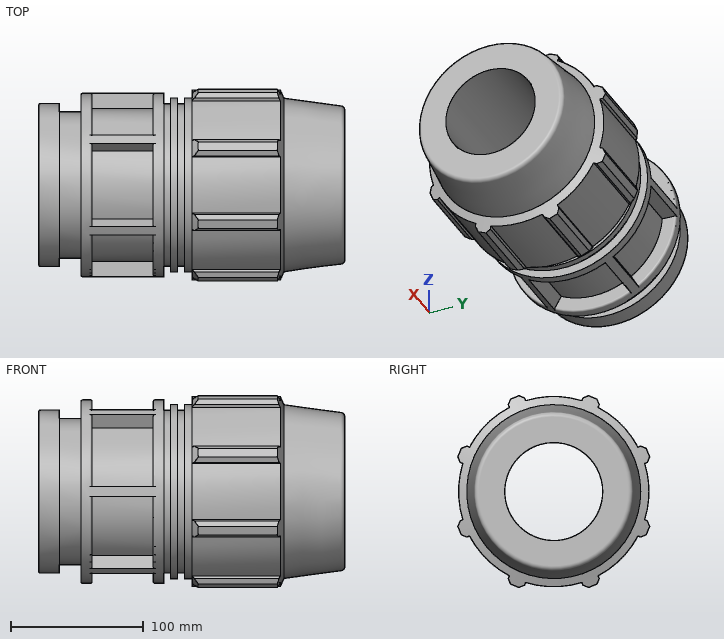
import cadquery as cq


length = 231.0

flange_dia = 123.1
flange_end = 15.7
neck_dia = 110.6
edge_round = 1.6

collar_dia = 138.5
core_dia = 115.5
band_start = 31.9
first_collar_end = 40.5
second_collar_start = 86.5
band_end = 94.5
rib_count = 6
rib_width = 7.5

groove_dia = 123.0
ring_dia = 131.7
outer_ring_start = 99.3
outer_ring_end = 104.9
inner_ring_start = 110.0

nut_dia = 143.7
nut_start = 115.7
nut_bevel_start = 182.3
nut_end = 185.0
grip_count = 8
grip_top_radius = 77.0
grip_width = 13.5
grip_chamfer = 3.2
grip_slope = 4.6
nose_base_dia = 131.2
nose_tip_dia = 118.7
nose_round = 3.5

mouth_dia = 98.5
mouth_depth = 15.2
socket_dia = 86.2
socket_depth = 52.7
hole_dia = 73.7


def revolve_profile(points):
    """Solid of revolution about X from (position, radius) points along its outline."""
    start, end = points[0][0], points[-1][0]
    outline = [(start, 0)] + points + [(end, 0)]
    return cq.Workplane("XY").polyline(outline).close().revolve(360, (0, 0, 0), (1, 0, 0))


def cylinder(diameter, start, end):
    """Cylinder along the X axis between two positions."""
    return revolve_profile([(start, diameter / 2), (end, diameter / 2)])


def make_spigot():
    flange = cylinder(flange_dia, 0, flange_end).faces("<X").edges().fillet(edge_round)
    return flange.union(cylinder(neck_dia, flange_end, band_start))


def make_band():
    first_collar = cylinder(collar_dia, band_start, first_collar_end).edges().fillet(edge_round)
    second_collar = cylinder(collar_dia, second_collar_start, band_end)
    second_collar = second_collar.faces("<X").edges().fillet(edge_round)
    band = cylinder(core_dia, band_start, band_end).union(first_collar).union(second_collar)

    rib_start = first_collar_end - edge_round
    rib_end = second_collar_start + edge_round
    envelope = cylinder(collar_dia, rib_start, rib_end)
    spoke = cq.Workplane("XY").box(
        rib_end - rib_start, collar_dia, rib_width, centered=(False, True, True)
    ).translate((rib_start, 0, 0))
    for index in range(rib_count // 2):
        turned = spoke.rotate((0, 0, 0), (1, 0, 0), index * 360 / rib_count)
        band = band.union(turned.intersect(envelope))
    return band


def make_grooves():
    core = cylinder(groove_dia, band_end, nut_start)
    outer_ring = cylinder(ring_dia, outer_ring_start, outer_ring_end)
    inner_ring = cylinder(ring_dia, inner_ring_start, nut_start)
    return core.union(outer_ring).union(inner_ring)


def make_nut():
    nut_length = nut_end - nut_start
    bar_base = groove_dia / 2
    bar = (
        cq.Workplane("XY", origin=(nut_start, 0, bar_base))
        .box(nut_length, grip_width, grip_top_radius - bar_base, centered=(False, True, False))
        .faces(">Z").edges("|X").chamfer(grip_chamfer)
    )
    nut = cylinder(nut_dia, nut_start, nut_end)
    pitch = 360 / grip_count
    for index in range(grip_count):
        nut = nut.union(bar.rotate((0, 0, 0), (1, 0, 0), (index + 0.5) * pitch))

    nut_radius = nut_dia / 2
    nose_radius = nose_base_dia / 2
    envelope_radius = grip_top_radius + grip_slope
    bevel_run = (nut_end - nut_bevel_start) / (nut_radius - nose_radius)
    envelope = revolve_profile([
        (nut_start, grip_top_radius - grip_slope),
        (nut_start + 2 * grip_slope, envelope_radius),
        (nut_bevel_start - (envelope_radius - nut_radius) * bevel_run, envelope_radius),
        (nut_end, nose_radius),
    ])
    return nut.intersect(envelope)


def make_nose():
    nose = revolve_profile([(nut_end, nose_base_dia / 2), (length, nose_tip_dia / 2)])
    return nose.faces(">X").edges().fillet(nose_round)


def make_bore():
    mouth = revolve_profile([(0, mouth_dia / 2), (mouth_depth, socket_dia / 2)])
    socket = cylinder(socket_dia, mouth_depth, socket_depth)
    return mouth.union(socket).union(cylinder(hole_dia, socket_depth, length))


result = (
    make_spigot()
    .union(make_band())
    .union(make_grooves())
    .union(make_nut())
    .union(make_nose())
    .cut(make_bore())
)